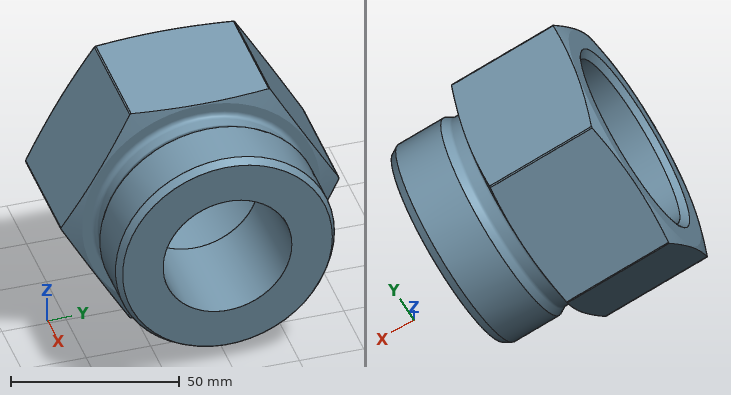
import cadquery as cq
import math

across_flats = 75.0
corner_diameter = 86.3
hex_length = 38.9
hex_face_diameter = 74.1
hex_chamfer_angle = 15.0

overall_length = 65.0
spigot_diameter = 68.0
neck_diameter = 65.1
neck_cone_start = 44.2
spigot_chamfer_length = 2.5
spigot_slope_angle = 30.0
neck_fillet = 1.55
groove_blend_radius = 1.7

socket_diameter = 56.6
socket_mouth_diameter = 61.2
socket_mouth_depth = 2.0
socket_depth = 29.95
seat_diameter = 50.8
through_diameter = 40.0
seat_cone_angle = 70.0
seat_edge_radius = 0.5


def slope(angle):
    """Rise per unit of run for an angle in degrees."""
    return math.tan(math.radians(angle))


def revolve_about_x(profile):
    return profile.close().revolve(360, (0, 0, 0), (1, 0, 0))


def make_hexagon():
    across_corners = across_flats / math.cos(math.radians(30))
    prism = cq.Workplane("YZ").polygon(6, across_corners).extrude(hex_length)
    corner_radius = corner_diameter / 2
    face_radius = hex_face_diameter / 2
    chamfer_length = (corner_radius - face_radius) * slope(hex_chamfer_angle)
    envelope = revolve_about_x(
        cq.Workplane("XY")
        .lineTo(0, face_radius)
        .lineTo(chamfer_length, corner_radius)
        .lineTo(hex_length - chamfer_length, corner_radius)
        .lineTo(hex_length, face_radius)
        .lineTo(hex_length, 0)
    )
    return prism.intersect(envelope)


def make_spigot():
    neck_radius = neck_diameter / 2
    spigot_radius = spigot_diameter / 2
    rise = slope(spigot_slope_angle)
    cone_end = neck_cone_start + (spigot_radius - neck_radius) / rise
    chamfer_start = overall_length - spigot_chamfer_length
    end_radius = spigot_radius - spigot_chamfer_length * rise

    turn = math.radians(spigot_slope_angle)
    blend_start = neck_cone_start - groove_blend_radius * math.tan(turn / 2)

    def blend_point(angle):
        x = blend_start + groove_blend_radius * math.sin(angle)
        radius = neck_radius + groove_blend_radius * (1 - math.cos(angle))
        return (x, radius)

    diagonal_gap = neck_fillet * (1 - math.sqrt(0.5))
    return revolve_about_x(
        cq.Workplane("XY")
        .moveTo(hex_length, 0)
        .lineTo(hex_length, neck_radius + neck_fillet)
        .threePointArc(
            (hex_length + diagonal_gap, neck_radius + diagonal_gap),
            (hex_length + neck_fillet, neck_radius),
        )
        .lineTo(blend_start, neck_radius)
        .threePointArc(blend_point(turn / 2), blend_point(turn))
        .lineTo(cone_end, spigot_radius)
        .lineTo(chamfer_start, spigot_radius)
        .lineTo(overall_length, end_radius)
        .lineTo(overall_length, 0)
    )


def make_bore():
    seat_radius = seat_diameter / 2
    through_radius = through_diameter / 2
    seat_length = (seat_radius - through_radius) / slope(seat_cone_angle)
    seat_end = socket_depth + seat_length

    turn = math.radians(seat_cone_angle)
    edge_end = seat_end + seat_edge_radius * math.tan(turn / 2)

    def edge_point(angle):
        x = edge_end - seat_edge_radius * math.sin(angle)
        radius = through_radius + seat_edge_radius * (1 - math.cos(angle))
        return (x, radius)

    return revolve_about_x(
        cq.Workplane("XY")
        .lineTo(0, socket_mouth_diameter / 2)
        .lineTo(socket_mouth_depth, socket_diameter / 2)
        .lineTo(socket_depth, socket_diameter / 2)
        .lineTo(socket_depth, seat_radius)
        .lineTo(*edge_point(turn))
        .threePointArc(edge_point(turn / 2), (edge_end, through_radius))
        .lineTo(overall_length, through_radius)
        .lineTo(overall_length, 0)
    )


result = make_hexagon().union(make_spigot()).cut(make_bore())